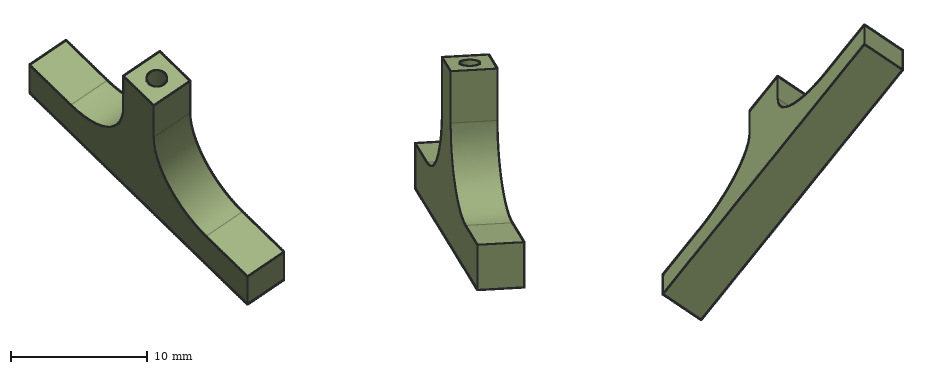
import cadquery as cq

base_length = 25
bar_size = 3.5
total_height = 13.5
fillet_radius = 6
hole_diameter = 1.5

stem_straight = total_height - bar_size - fillet_radius


def make_bar(length, height):
    """Block centred on X and Y, standing on Z = 0."""
    return cq.Workplane("XY").box(length, bar_size, height, centered=(True, True, False))


body = make_bar(base_length, bar_size).union(make_bar(bar_size, total_height))

corner_margin = 0.25
inner_corners = cq.selectors.BoxSelector(
    (-bar_size, -bar_size, bar_size - corner_margin),
    (bar_size, bar_size, bar_size + corner_margin),
)
body = body.edges("|Y").edges(inner_corners).fillet(fillet_radius)

result = body.faces(">Z").workplane().hole(hole_diameter, stem_straight)